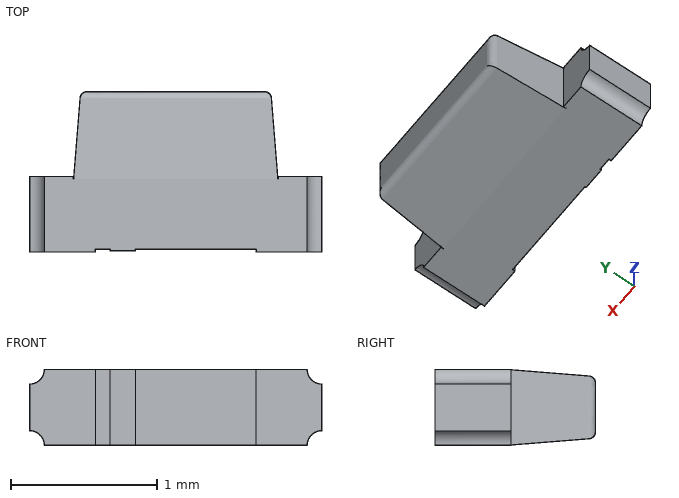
import cadquery as cq

length = 2.0
height = 0.52
body_depth = 0.52
scallop_radius = 0.1

pad_width = 0.45
plating = 0.02

mark_offset = 0.1
mark_width = 0.175
mark_thickness = 0.01

lens_reach = 0.58
lens_root_width = 1.4
lens_narrowing = 0.048
lens_tip_width = lens_root_width - 2 * lens_narrowing
lens_tip_height = height - 2 * lens_narrowing
lens_round = 0.05


def make_bare_strip(width, front_y):
    """Full-height strip of plating, centred in X, to be removed from the body."""
    strip = cq.Workplane("XY").box(width, plating, height, centered=(True, False, False))
    return strip.translate((0, front_y, 0))


def make_body():
    """Block with plating left off between the front pads and behind the lens."""
    block = cq.Workplane("XY").box(length, body_depth, height, centered=(True, False, False))
    block = block.translate((0, -body_depth, 0))
    front_strip = make_bare_strip(length - 2 * pad_width, -body_depth)
    lens_seat = make_bare_strip(lens_root_width, -plating)
    return block.cut(front_strip).cut(lens_seat)


def make_scallops():
    """Quarter-round grooves along the four long end edges."""
    corners = [(x, z) for x in (-length / 2, length / 2) for z in (0, height)]
    return cq.Workplane("XZ").pushPoints(corners).circle(scallop_radius).extrude(body_depth)


def make_polarity_mark():
    """Thin upright bar beside the left pad."""
    bar = cq.Workplane("XY").box(mark_width, mark_thickness, height, centered=False)
    mark_x = -length / 2 + pad_width + mark_offset
    return bar.translate((mark_x, plating - body_depth - mark_thickness, 0))


def make_lens():
    """Frustum reaching back from the body, with rounded tip edges."""
    frustum = (
        cq.Workplane("XZ", origin=(0, -plating, height / 2))
        .rect(lens_root_width, height)
        .workplane(offset=-(lens_reach + plating))
        .rect(lens_tip_width, lens_tip_height)
        .loft(ruled=True)
    )
    return frustum.faces(">Y").edges().fillet(lens_round)


result = make_body().cut(make_scallops()).union(make_polarity_mark()).union(make_lens())